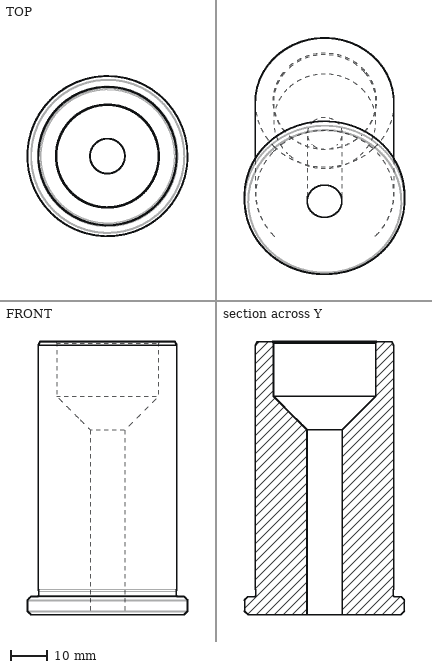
import cadquery as cq

height = 75.0
sleeve_radius = 38.1 / 2
flange_radius = 44.0 / 2
flange_height = 5.0
flange_chamfer = 1.0
flange_edge_round = 0.4

neck_radius = 37.8 / 2
neck_fillet = 0.4
neck_top = 6.5
sleeve_bottom = 7.05

rim_chamfer_width = 0.5
rim_chamfer_height = 1.05
rim_round = 0.4

bore_radius = 28.0 / 2
bore_depth = 15.0
bore_chamfer_width = 0.2
bore_chamfer_height = 0.5
hole_radius = 9.5 / 2
cone_depth = 9.2


def cylinder(radius, length):
    return cq.Workplane("XY").circle(radius).extrude(length)


def make_flange():
    """Disc with bevels whose corners are all rounded."""
    flange = cylinder(flange_radius, flange_height).edges().chamfer(flange_chamfer)
    return flange.edges("%CIRCLE").fillet(flange_edge_round)


def make_sleeve():
    """Neck and sleeve, with a bevelled and softened top rim."""
    rim_radius = sleeve_radius - rim_chamfer_width
    sleeve = (
        cq.Workplane("XZ")
        .moveTo(0, 0)
        .lineTo(neck_radius, 0)
        .lineTo(neck_radius, neck_top)
        .lineTo(sleeve_radius, sleeve_bottom)
        .lineTo(sleeve_radius, height - rim_chamfer_height)
        .lineTo(rim_radius, height)
        .lineTo(0, height)
        .close()
        .revolve(360, (0, 0, 0), (0, 1, 0))
    )
    return sleeve.faces(">Z").edges().fillet(rim_round)


def make_neck_fillet():
    """Ring that blends the neck into the top of the flange."""
    arc_offset = neck_fillet * (1 - 0.5**0.5)
    return (
        cq.Workplane("XZ")
        .moveTo(hole_radius, flange_height)
        .lineTo(neck_radius + neck_fillet, flange_height)
        .threePointArc(
            (neck_radius + arc_offset, flange_height + arc_offset),
            (neck_radius, flange_height + neck_fillet),
        )
        .lineTo(hole_radius, flange_height + neck_fillet)
        .close()
        .revolve(360, (0, 0, 0), (0, 1, 0))
    )


def make_cavity():
    """Bore, cone and through hole as one turned shape."""
    bore_bottom = height - bore_depth
    cone_bottom = bore_bottom - cone_depth
    return (
        cq.Workplane("XZ")
        .lineTo(hole_radius, 0)
        .lineTo(hole_radius, cone_bottom)
        .lineTo(bore_radius, bore_bottom)
        .lineTo(bore_radius, height - bore_chamfer_height)
        .lineTo(bore_radius + bore_chamfer_width, height)
        .lineTo(0, height)
        .close()
        .revolve(360, (0, 0, 0), (0, 1, 0))
    )


body = make_flange().union(make_sleeve()).union(make_neck_fillet())
result = body.cut(make_cavity())